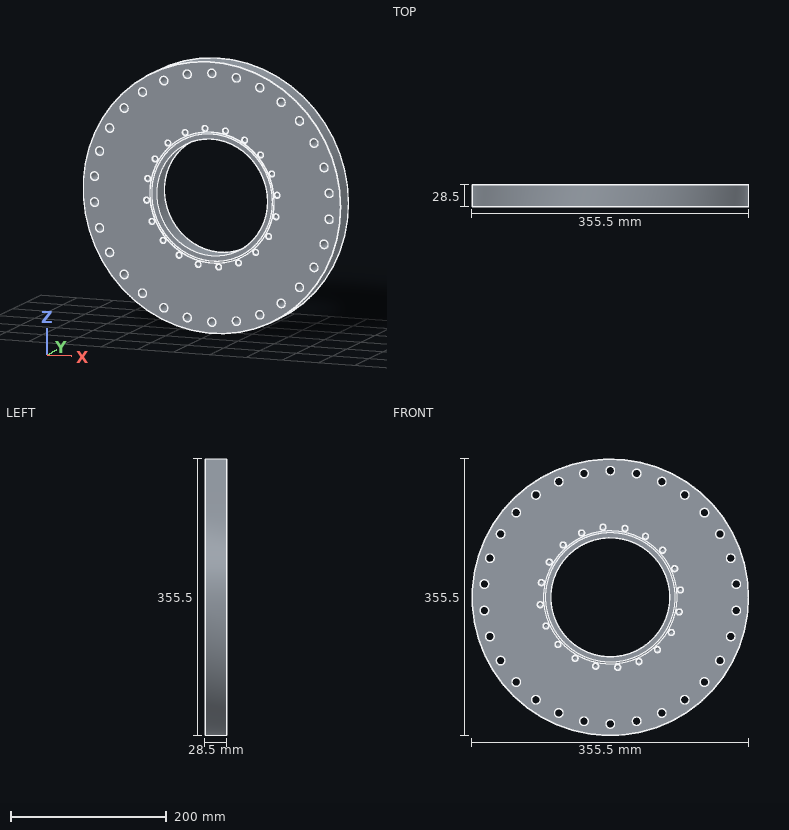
import cadquery as cq

outer_diameter = 355.5
thickness = 28.5
bore_diameter = 152.5
rim_chamfer = 0.55

seat_diameter = 171.5
knife_diameter = 166.5
knife_depth = 0.7
knife_height = 0.9
land_depth = 1.25
seat_depth = knife_depth + knife_height

bolt_count = 30
bolt_circle_diameter = 325.5
bolt_hole_diameter = 10.5
bolt_hole_chamfer = 0.5
bolt_start_angle = 90.0

tapped_count = 20
tapped_circle_diameter = 181.0
tapped_hole_diameter = 6.8
tapped_chamfer = 0.7
tapped_depth = 17.8
tapped_start_angle = 6.0
drill_tip_depth = 2.0

front_y = -thickness / 2
back_y = thickness / 2


def flange_body():
    """Revolve the half section about the Y axis, with the seat cut into the front face."""
    bore_radius = bore_diameter / 2
    outer_radius = outer_diameter / 2
    seat_radius = seat_diameter / 2
    knife_radius = knife_diameter / 2
    section = (
        cq.Workplane("XY")
        .moveTo(bore_radius, back_y)
        .lineTo(bore_radius, front_y + land_depth)
        .lineTo(knife_radius, front_y + land_depth)
        .lineTo(knife_radius, front_y + knife_depth)
        .lineTo(seat_radius, front_y + seat_depth)
        .lineTo(seat_radius, front_y)
        .lineTo(outer_radius - rim_chamfer, front_y)
        .lineTo(outer_radius, front_y + rim_chamfer)
        .lineTo(outer_radius, back_y - rim_chamfer)
        .lineTo(outer_radius - rim_chamfer, back_y)
        .close()
    )
    return section.revolve(360, (0, 0, 0), (0, 1, 0))


def ring_of_holes(hole, circle_diameter, count, start_angle):
    """Copy a hole tool, made on the Y axis, around a circle; angles run from +X toward +Z."""
    tools = cq.Workplane("XY")
    for index in range(count):
        angle = start_angle + index * 360 / count
        tool = hole.translate((circle_diameter / 2, 0, 0)).rotate((0, 0, 0), (0, -1, 0), angle)
        tools.add(tool)
    return tools.combine()


def bolt_hole():
    """Through hole on the Y axis with a chamfered mouth at both faces."""
    radius = bolt_hole_diameter / 2
    mouth_radius = radius + bolt_hole_chamfer
    section = (
        cq.Workplane("XY")
        .moveTo(0, front_y)
        .lineTo(mouth_radius, front_y)
        .lineTo(radius, front_y + bolt_hole_chamfer)
        .lineTo(radius, back_y - bolt_hole_chamfer)
        .lineTo(mouth_radius, back_y)
        .lineTo(0, back_y)
        .close()
    )
    return section.revolve(360, (0, 0, 0), (0, 1, 0))


def tapped_hole():
    """Blind hole on the Y axis, chamfered at the front face and ending in a conical drill point."""
    radius = tapped_hole_diameter / 2
    bottom_y = front_y + tapped_depth
    section = (
        cq.Workplane("XY")
        .moveTo(0, front_y)
        .lineTo(radius + tapped_chamfer, front_y)
        .lineTo(radius, front_y + tapped_chamfer)
        .lineTo(radius, bottom_y)
        .lineTo(0, bottom_y + drill_tip_depth)
        .close()
    )
    return section.revolve(360, (0, 0, 0), (0, 1, 0))


bolt_holes = ring_of_holes(bolt_hole(), bolt_circle_diameter, bolt_count, bolt_start_angle)
tapped_holes = ring_of_holes(tapped_hole(), tapped_circle_diameter, tapped_count, tapped_start_angle)
result = flange_body().cut(bolt_holes).cut(tapped_holes)